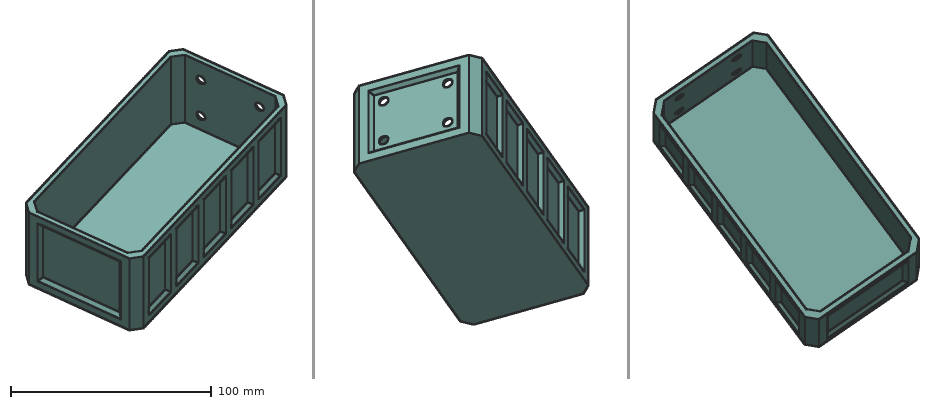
import cadquery as cq

width = 70.0
length = 140.0
height = 50.0
corner_chamfer = 5.0
wall = 3.0

panel_depth = 2.1
panel_margin = 5.0
panel_height = height - 2 * panel_margin
side_panel_width = 20.0
side_panel_pitch = 24.9
side_panel_count = 5
end_panel_width = width - 2 * (corner_chamfer + panel_margin)

hole_diameter = 5.0
hole_spacing_x = 35.0
hole_spacing_z = 25.0


def chamfered_block(size_x, size_y, size_z):
    """Upright block standing on Z = 0 with its four vertical edges chamfered."""
    block = cq.Workplane("XY").box(size_x, size_y, size_z, centered=(True, True, False))
    return block.edges("|Z").chamfer(corner_chamfer)


def panel_cutter(panel_width, center, outward):
    """Tapered cutter that sinks a panel into a wall facing the outward direction."""
    horizontal = cq.Vector(0, 0, 1).cross(cq.Vector(*outward))
    face = cq.Plane(origin=center, xDir=horizontal.toTuple(), normal=outward)
    return (
        cq.Workplane(face)
        .rect(panel_width, panel_height)
        .extrude(-panel_depth, taper=45)
    )


cavity = chamfered_block(width - 2 * wall, length - 2 * wall, height).translate((0, 0, wall))
result = chamfered_block(width, length, height).cut(cavity)

for side in (-1, 1):
    for index in range(side_panel_count):
        y = (index - (side_panel_count - 1) / 2) * side_panel_pitch
        center = (side * width / 2, y, height / 2)
        result = result.cut(panel_cutter(side_panel_width, center, (side, 0, 0)))

for side in (-1, 1):
    center = (0, side * length / 2, height / 2)
    result = result.cut(panel_cutter(end_panel_width, center, (0, side, 0)))

hole_plane = cq.Plane(origin=(0, length / 2, height / 2), xDir=(1, 0, 0), normal=(0, -1, 0))
holes = (
    cq.Workplane(hole_plane)
    .rarray(hole_spacing_x, hole_spacing_z, 2, 2)
    .circle(hole_diameter / 2)
    .extrude(wall)
)
result = result.cut(holes)